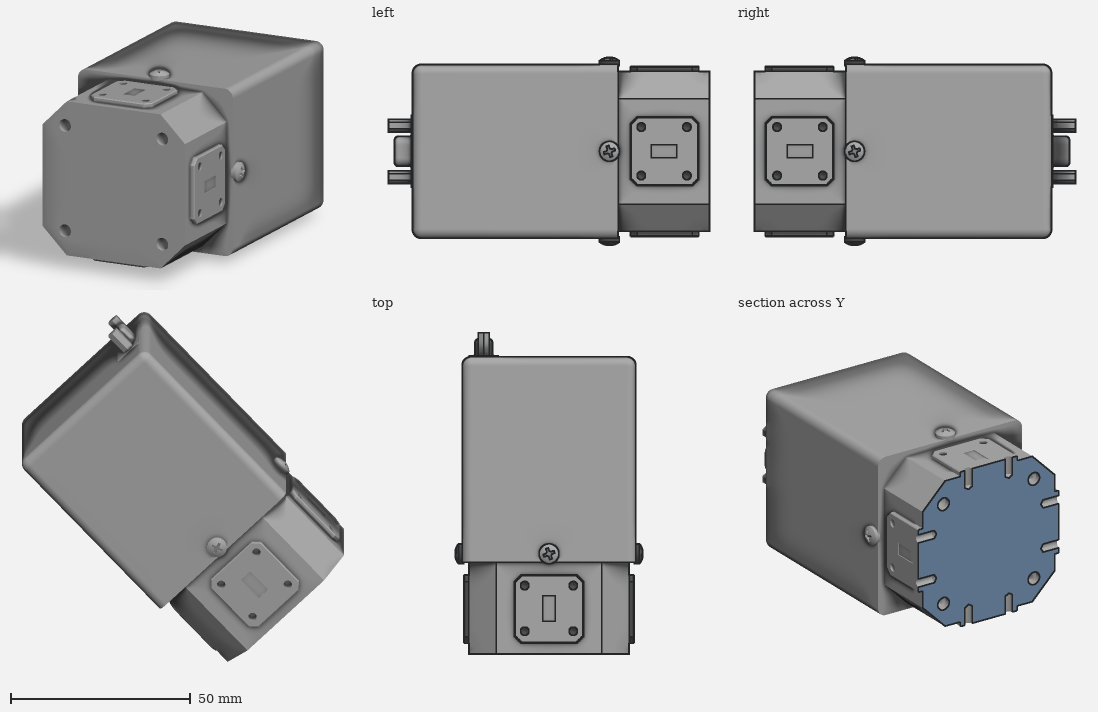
import cadquery as cq
import math


block_size = 44.5
block_length = 25.5
block_chamfer = 7.6
mount_hole_dia = 3.7
mount_hole_pitch = 30.4
mount_hole_depth = 8.0
drill_tip_angle = 118.0

housing_size = 48.35
housing_length = 57.2
housing_radius = 2.5
housing_back = block_length + housing_length

pad_width = 19.2
pad_length = 19.0
pad_height = 1.4
pad_corner_chamfer = 1.9
pad_edge_chamfer = 0.3
pad_center_y = 12.5
port_center_y = 12.7
port_width = 3.6
port_length = 7.15
port_depth = 0.3
port_hole_dia = 2.3
port_hole_pitch_across = 13.5
port_hole_pitch_along = 12.7
port_hole_depth = 5.4

overall_width = 52.2
screw_dia = 5.5
screw_height = (overall_width - housing_size) / 2
screw_rim_height = 1.0
screw_center_y = 27.9
recess_span = 3.2
recess_arm_width = 0.7
recess_core_dia = 1.5
recess_depth = 1.1
recess_turn = 20.0

overall_length = 89.4
connector_x = -18.1
connector_plate_width = 8.0
connector_plate_height = 20.1
connector_plate_thickness = 0.3
shell_width = 4.9
shell_mean_height = 8.4
shell_length = 5.0
shell_slant_angle = 15.0
shell_corner_radius = 2.15
shell_rim_radius = 1.2
shell_base_radius = 0.4
post_pitch = 14.3
post_across_flats = 3.1
post_length = overall_length - housing_back

overlap = 0.45


def grid_points(pitch_x, pitch_y):
    return [(sx * pitch_x / 2, sy * pitch_y / 2) for sx in (-1, 1) for sy in (-1, 1)]


def drilled_hole(diameter, depth):
    """Blind hole with a drill-point bottom, opening at Z = 0 and running to -Z."""
    radius = diameter / 2
    tip = radius / math.tan(math.radians(drill_tip_angle / 2))
    profile = [(0, 0), (radius, 0), (radius, -depth), (0, -depth - tip)]
    return cq.Workplane("XZ").polyline(profile).close().revolve(360, (0, 0, 0), (0, 1, 0))


def on_each_side(feature):
    """The top-side feature repeated on the four sides around the Y axis."""
    sides = cq.Workplane("XY")
    for turn in range(4):
        sides = sides.add(feature.rotate((0, 0, 0), (0, 1, 0), 90 * turn))
    return sides.combine()


def back_plane(y=housing_back):
    """Sketch plane facing +Y, with local x = -X and local y = +Z."""
    return cq.Workplane(cq.Plane(origin=(connector_x, y, 0), xDir=(-1, 0, 0), normal=(0, 1, 0)))


def make_block():
    block = (
        cq.Workplane("XY")
        .box(block_size, block_length + overlap, block_size, centered=(True, False, True))
        .edges("|Y")
        .chamfer(block_chamfer)
    )
    hole = drilled_hole(mount_hole_dia, mount_hole_depth).rotate((0, 0, 0), (1, 0, 0), 90)
    for x, z in grid_points(mount_hole_pitch, mount_hole_pitch):
        block = block.cut(hole.translate((x, 0, z)))
    return block


def make_housing():
    return (
        cq.Workplane("XY")
        .box(housing_size, housing_length, housing_size, centered=(True, False, True))
        .edges("|Y or >Y")
        .fillet(housing_radius)
        .translate((0, block_length, 0))
    )


def make_pad():
    return (
        cq.Workplane("XY")
        .box(pad_width, pad_length, pad_height + overlap, centered=(True, True, False))
        .edges("|Z")
        .chamfer(pad_corner_chamfer)
        .faces(">Z")
        .chamfer(pad_edge_chamfer)
        .translate((0, pad_center_y, block_size / 2 - overlap))
    )


def make_port_cuts():
    """Waveguide window and its four screw holes, opening at the top pad's face."""
    cuts = cq.Workplane("XY").box(port_width, port_length, 2 * port_depth)
    hole = drilled_hole(port_hole_dia, port_hole_depth)
    for x, y in grid_points(port_hole_pitch_across, port_hole_pitch_along):
        cuts = cuts.add(hole.translate((x, y, 0)))
    return cuts.combine().translate((0, port_center_y, block_size / 2 + pad_height))


def make_screw():
    """Domed screw head with a cross recess, standing on the top of the housing."""
    radius = screw_dia / 2
    core_radius = recess_core_dia / 2
    dome_center_z = (core_radius**2 + screw_height**2 - radius**2 - screw_rim_height**2) / (
        2 * (screw_height - screw_rim_height)
    )
    dome_radius = math.hypot(radius, screw_rim_height - dome_center_z)
    apex_z = dome_center_z + dome_radius
    head = (
        cq.Workplane("XZ")
        .moveTo(0, -overlap)
        .lineTo(radius, -overlap)
        .lineTo(radius, screw_rim_height)
        .threePointArc((core_radius, screw_height), (0, apex_z))
        .close()
        .revolve(360, (0, 0, 0), (0, 1, 0))
    )
    core = cq.Workplane("XY").circle(core_radius).extrude(recess_depth, both=True)
    head = head.cut(core.translate((0, 0, screw_height)))
    for turn in (recess_turn, recess_turn + 90):
        arm = cq.Workplane("XY").box(recess_span, recess_arm_width, 2 * recess_depth)
        arm = arm.rotate((0, 0, 0), (0, 0, 1), turn)
        head = head.cut(arm.translate((0, 0, screw_height)))
    return head.translate((0, screw_center_y, housing_size / 2))


def make_shell():
    """D-shaped connector shell, narrower towards -X, with a rounded rim."""
    taper = shell_width * math.tan(math.radians(shell_slant_angle))
    half_wide = (shell_mean_height + taper) / 2
    half_narrow = half_wide - taper
    half_width = shell_width / 2
    outline = [
        (-half_width, -half_wide),
        (half_width, -half_narrow),
        (half_width, half_narrow),
        (-half_width, half_wide),
    ]
    return (
        back_plane(housing_back - overlap)
        .polyline(outline)
        .close()
        .extrude(shell_length + overlap)
        .edges("|Y")
        .fillet(shell_corner_radius)
        .faces(">Y")
        .edges()
        .fillet(shell_rim_radius)
    )


def make_connector():
    plate = (
        back_plane(housing_back - overlap)
        .rect(connector_plate_width, connector_plate_height)
        .extrude(connector_plate_thickness + overlap)
    )
    base_y = housing_back + connector_plate_thickness
    base_margin = 0.1
    base_edges = cq.selectors.BoxSelector(
        (connector_x - shell_width / 2 - base_margin, base_y - base_margin, -shell_mean_height),
        (connector_x + shell_width / 2 + base_margin, base_y + base_margin, shell_mean_height),
    )
    shell_on_plate = plate.union(make_shell()).edges(base_edges).fillet(shell_base_radius)

    post_across_corners = post_across_flats / math.cos(math.radians(30))
    posts = (
        back_plane(housing_back - overlap)
        .pushPoints([(0, -post_pitch / 2), (0, post_pitch / 2)])
        .polygon(6, post_across_corners)
        .extrude(post_length + overlap)
    )
    turned_posts = cq.Workplane("XY")
    for post in posts.solids().vals():
        center = post.Center()
        axis_end = center + cq.Vector(0, 0.9, 0)
        turned_posts = turned_posts.add(post.rotate(center, axis_end, 30))
    return shell_on_plate.union(turned_posts.combine())


result = (
    make_block()
    .union(make_housing())
    .union(on_each_side(make_pad()))
    .cut(on_each_side(make_port_cuts()))
    .union(on_each_side(make_screw()))
    .union(make_connector())
)